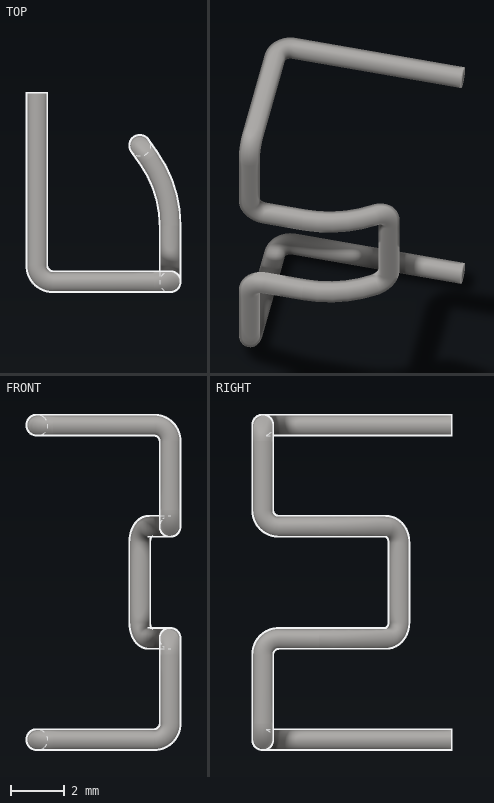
import cadquery as cq
import math

width = 5.8
depth = 7.5
height = 12.6

wire_diameter = 0.8
bend_radius = 0.6
curve_radius = 4.38
curve_angle = math.radians(35)
curve_start_y = 2.1
inner_run_z = 2.1

wire_radius = wire_diameter / 2
leg_end_y = depth - wire_radius
side_x = width - wire_diameter
leg_z = height / 2 - wire_radius

X = cq.Vector(1, 0, 0)
Y = cq.Vector(0, 1, 0)
Z = cq.Vector(0, 0, 1)
curve_exit = Y * math.cos(curve_angle) - X * math.sin(curve_angle)


def arc_edge(start, direction_in, direction_out, radius):
    """Arc tangent to direction_in at start that turns until it runs along direction_out."""
    turn = direction_in.getAngle(direction_out)
    inward = (direction_out - direction_in * math.cos(turn)).normalized()

    def point_at(angle):
        along = direction_in * (radius * math.sin(angle))
        across = inward * (radius * (1 - math.cos(angle)))
        return start + along + across

    return cq.Edge.makeThreePointArc(start, point_at(turn / 2), point_at(turn))


def add_line(edges, end):
    edges.append(cq.Edge.makeLine(edges[-1].endPoint(), end))


def add_arc(edges, direction_in, direction_out, radius):
    edges.append(arc_edge(edges[-1].endPoint(), direction_in, direction_out, radius))


def upper_centreline():
    """Centreline from the free end of the upper leg down to the mid plane."""
    leg_end = cq.Vector(0, leg_end_y, leg_z)
    edges = [cq.Edge.makeLine(leg_end, cq.Vector(0, bend_radius, leg_z))]
    add_arc(edges, -Y, X, bend_radius)
    add_line(edges, cq.Vector(side_x - bend_radius, 0, leg_z))
    add_arc(edges, X, -Z, bend_radius)
    add_line(edges, cq.Vector(side_x, 0, inner_run_z + bend_radius))
    add_arc(edges, -Z, Y, bend_radius)
    add_line(edges, cq.Vector(side_x, curve_start_y, inner_run_z))
    add_arc(edges, Y, curve_exit, curve_radius)
    add_arc(edges, curve_exit, -Z, bend_radius)
    bend_end = edges[-1].endPoint()
    add_line(edges, cq.Vector(bend_end.x, bend_end.y, 0))
    return cq.Wire.assembleEdges(edges)


upper_half = (
    cq.Workplane("XZ", origin=(0, leg_end_y, leg_z))
    .circle(wire_radius)
    .sweep(cq.Workplane(upper_centreline()))
)
result = upper_half.union(upper_half.mirror("XY"))